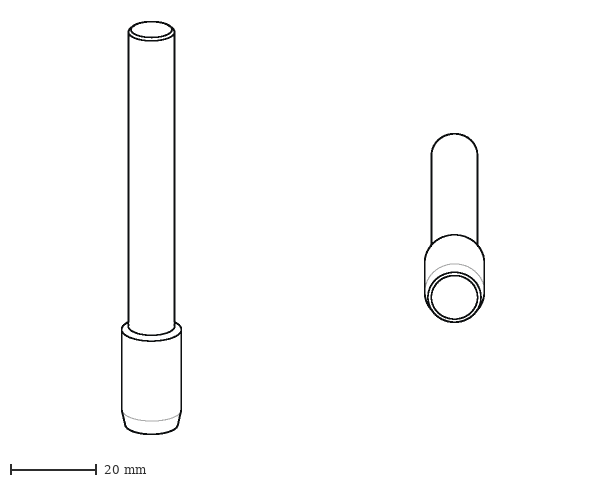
import cadquery as cq

total_length = 100.0

sleeve_diameter = 14.0
sleeve_length = 24.8
sleeve_cone_height = 0.8
taper_length = 3.8
taper_end_diameter = 12.4

rod_diameter = 10.8
rod_chamfer = 0.6


def make_rod():
    """Straight round rod, chamfered at its free top end."""
    rod = cq.Workplane("XY").circle(rod_diameter / 2).extrude(total_length)
    return rod.faces(">Z").chamfer(rod_chamfer)


def make_sleeve():
    """Sleeve with a tapered lower end, a shallow conical top and a through bore for the rod."""
    outer_radius = sleeve_diameter / 2
    bore_radius = rod_diameter / 2
    profile = [
        (bore_radius, 0),
        (taper_end_diameter / 2, 0),
        (outer_radius, taper_length),
        (outer_radius, sleeve_length - sleeve_cone_height),
        (bore_radius, sleeve_length),
    ]
    return cq.Workplane("XZ").polyline(profile).close().revolve(360, (0, 0), (0, 1))


rod = make_rod()
sleeve = make_sleeve()

result = cq.Compound.makeCompound([rod.val(), sleeve.val()])